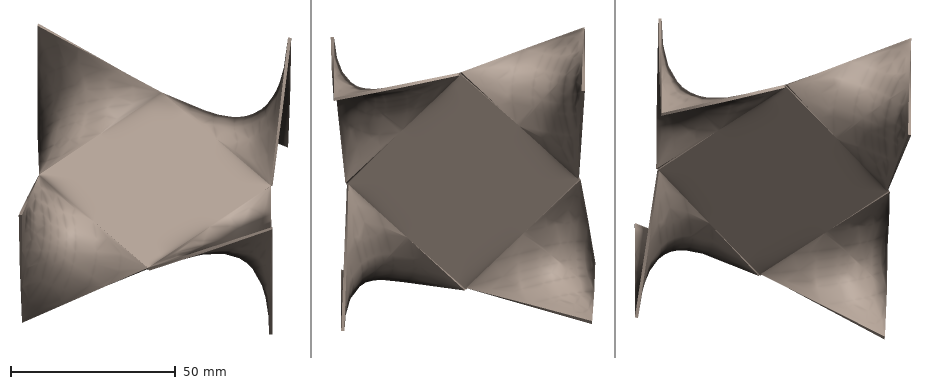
import cadquery as cq

PLATE_SIDE = 50.0
THICKNESS = 1.0
WING_REACH = 28.94
TIP_LENGTH = 50.0
WING_COUNT = 4
ROOT_OVERLAP = 0.05

HALF_SIDE = PLATE_SIDE / 2
HALF_TIP = TIP_LENGTH / 2
ROOT_OFFSET = HALF_SIDE - ROOT_OVERLAP
TIP_OFFSET = HALF_SIDE + WING_REACH


def make_plate():
    """Flat square plate whose top face lies at Z = 0."""
    return cq.Workplane("XY").rect(PLATE_SIDE, PLATE_SIDE).extrude(-THICKNESS).val()


def make_wing():
    """Saddle-shaped sheet spanning four straight edges on the +X side of the plate.

    The horizontal root edge twists through a right angle into the vertical tip edge.
    The sheet is thickened towards the underside of the plate.
    """
    corners = [
        cq.Vector(ROOT_OFFSET, ROOT_OFFSET, 0),
        cq.Vector(ROOT_OFFSET, -ROOT_OFFSET, 0),
        cq.Vector(TIP_OFFSET, 0, HALF_TIP),
        cq.Vector(TIP_OFFSET, 0, -HALF_TIP),
    ]
    boundary = cq.Wire.makePolygon(corners, close=True)
    sheet = cq.Face.makeNSidedSurface([boundary], [])
    root_middle = cq.Vector(ROOT_OFFSET, 0, 0)
    normal_points_up = sheet.normalAt(root_middle).z > 0
    return sheet.thicken(-THICKNESS if normal_points_up else THICKNESS)


def make_wings():
    """Copies of the wing spaced evenly about the Z axis."""
    wing = make_wing()
    axis_start = cq.Vector(0, 0, 0)
    axis_end = cq.Vector(0, 0, 1)
    angle_step = 360 / WING_COUNT
    return [wing.rotate(axis_start, axis_end, index * angle_step) for index in range(WING_COUNT)]


body = make_plate().fuse(*make_wings())
result = cq.Workplane("XY").newObject(body.Solids())